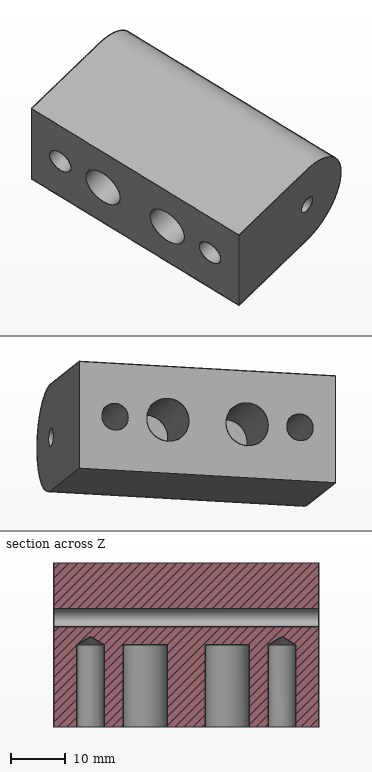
import math

import cadquery as cq

length = 48.5
height = 20.0
depth = 30.0
back_radius = height / 2
front_y = 0.0
arc_centre_y = front_y + depth - back_radius

pivot_diameter = 3.3

pocket_diameter = 8.0
pocket_spacing = 15.0
pocket_depth = 15.0

drill_diameter = 5.0
drill_spacing = 35.0
drill_depth = 15.0
drill_point_angle = 118.0


def make_block():
    """D-shaped profile extruded along X, centred on X = 0 and Z = 0."""
    return (
        cq.Workplane("YZ", origin=(-length / 2, 0, 0))
        .moveTo(front_y, -height / 2)
        .lineTo(arc_centre_y, -height / 2)
        .threePointArc((arc_centre_y + back_radius, 0), (arc_centre_y, height / 2))
        .lineTo(front_y, height / 2)
        .close()
        .extrude(length)
    )


def make_pivot_bore():
    """Cylinder along X through both end faces."""
    return (
        cq.Workplane("YZ", origin=(-length / 2, arc_centre_y, 0))
        .circle(pivot_diameter / 2)
        .extrude(length)
    )


def make_pocket(x):
    """Flat-bottomed cylinder going in from the front face at x."""
    return (
        cq.Workplane("XZ", origin=(x, front_y, 0))
        .circle(pocket_diameter / 2)
        .extrude(-pocket_depth)
    )


def make_drilled_hole(x):
    """Cylinder with a cone tip going in from the front face at x."""
    radius = drill_diameter / 2
    tip_length = radius / math.tan(math.radians(drill_point_angle / 2))
    shoulder_y = front_y + drill_depth
    return (
        cq.Workplane("XY", origin=(x, 0, 0))
        .moveTo(0, front_y)
        .lineTo(radius, front_y)
        .lineTo(radius, shoulder_y)
        .lineTo(0, shoulder_y + tip_length)
        .close()
        .revolve(360, (0, 0, 0), (0, 1, 0))
    )


result = make_block().cut(make_pivot_bore())
for side in (-1, 1):
    result = result.cut(make_pocket(side * pocket_spacing / 2))
    result = result.cut(make_drilled_hole(side * drill_spacing / 2))